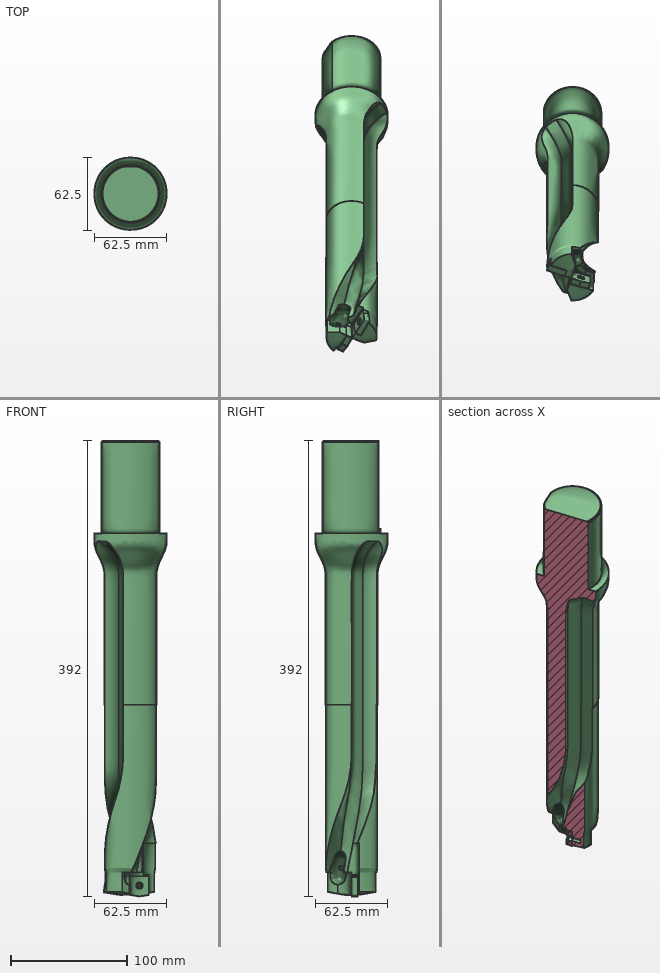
import cadquery as cq
import math


total_height = 391.98
shank_radius = 49.99 / 2
shank_chamfer = 1.0
shank_flat_y = 23.4
shank_flat_bottom = 316.2

flange_radius = 62.5 / 2
flange_top = 312.4
flange_bottom = 306.4
bell_inflection = (26.0, 290.0)
bell_bottom = 275.2

neck_radius = 22.42
body_radius = 22.4
lower_body_radius = 22.3
neck_bottom = 270.0
upper_body_bottom = 164.9

head_radius = 21.6
head_cone_top = 24.5
head_cone_bottom = 20.8
end_cone_top = 4.0
end_cone_bottom = 1.7
end_face_radius = 8.0

flute_wall_end = (-10.0, 0.0)
flute_bevel_end = (-4.0, -9.7)
flute_edge = (-6.2, -21.0)
flute_reach = 48.0

twist_start = 122.0
twist_full = 80.0
twist_rate = 1.1
twist_end = 20.0
flute_sections = 21

runout_start = bell_bottom
runout_radius = 32.0
runout_angle = 217.0
runout_sections = 8

insert_side = 16.4
insert_thickness = 5.3
insert_corner_radius = 0.8
insert_hole_diameter = 4.7
insert_sink_diameter = 5.7
insert_sink_depth = 1.5
screw_hole_diameter = 3.5
screw_hole_depth = 8.0
center_tip = 1.2
center_insert_x = 7.7
center_insert_z = center_tip + insert_side / 2
outer_insert_x = -13.8
outer_insert_z = 10.4
outer_insert_tilt = 9.0

center_chip_wall_x = -1.0
outer_chip_wall_x = 1.2
chip_wall_length = 12.0
chip_flare = 35.0
flat_floor_y = 6.5
flat_floor_left = 11.0
flat_floor_step = 18.8
flat_floor_top = 46.0

scoop_radius = 7.5
scoop_low = (-1.0, -12.3, 17.8)
scoop_high = (0.5, -8.5, 32.5)
coolant_diameter = 4.0
coolant_y = -8.9
coolant_z = 24.7
coolant_depth = 10.0


def revolved_blank():
    profile = (
        cq.Workplane("XZ")
        .moveTo(0, end_cone_bottom)
        .lineTo(end_face_radius, end_cone_bottom)
        .lineTo(head_radius, end_cone_top)
        .lineTo(head_radius, head_cone_bottom)
        .lineTo(lower_body_radius, head_cone_top)
        .lineTo(lower_body_radius, upper_body_bottom)
        .lineTo(body_radius, upper_body_bottom)
        .lineTo(body_radius, neck_bottom)
        .lineTo(neck_radius, bell_bottom)
        .spline([bell_inflection, (flange_radius, flange_bottom)], [(0, 1), (0, 1)], includeCurrent=True)
        .lineTo(flange_radius, flange_top)
        .lineTo(shank_radius, flange_top)
        .lineTo(shank_radius, total_height - shank_chamfer)
        .lineTo(shank_radius - shank_chamfer, total_height)
        .lineTo(0, total_height)
        .close()
    )
    return profile.revolve(360, (0, 0, 0), (0, 1, 0))


def shank_flat():
    size = 2 * flange_radius
    height = total_height - shank_flat_bottom
    return cq.Workplane("XY").box(size, size, height, centered=(True, False, False)).translate(
        (0, shank_flat_y, shank_flat_bottom)
    )


def flute_section(z, turn=0.0, shift=0.0):
    """Closed flute outline at height z, turned about the axis and shifted outwards."""
    outline = [
        (-flute_reach, 0),
        flute_wall_end,
        flute_bevel_end,
        flute_edge,
        (flute_edge[0], -flute_reach),
        (-flute_reach, -flute_reach),
    ]
    shift_x = shift * math.cos(math.radians(runout_angle))
    shift_y = shift * math.sin(math.radians(runout_angle))
    points = [cq.Vector(x + shift_x, y + shift_y, z) for x, y in outline]
    wire = cq.Wire.makePolygon(points, close=True)
    return wire.rotate(cq.Vector(0, 0, 0), cq.Vector(0, 0, 1), turn)


def flute_turn(z):
    """Turn in degrees: it builds up smoothly over the blend, then stays a steady helix."""
    blend = twist_start - twist_full
    drop = max(twist_start - z, 0)
    if drop < blend:
        return -twist_rate * drop**2 / (2 * blend)
    return -twist_rate * (drop - blend / 2)


def runout_shift(z):
    rise = z - runout_start
    return runout_radius - math.sqrt(runout_radius**2 - rise**2)


def evenly_spaced(start, end, count):
    return [start + (end - start) * i / (count - 1) for i in range(count)]


def flute_cutters():
    flute_heights = evenly_spaced(twist_end, runout_start, flute_sections)
    runout_heights = evenly_spaced(runout_start, flange_bottom, runout_sections)
    return [
        cq.Solid.makeLoft([flute_section(z, turn=flute_turn(z)) for z in flute_heights]),
        cq.Solid.makeLoft([flute_section(z, shift=runout_shift(z)) for z in runout_heights]),
    ]


def chip_space(wall_x):
    """Space in front of an insert that faces -Y and lies at positive x."""
    flare_run = flute_reach * math.tan(math.radians(chip_flare))
    outline = [
        (wall_x, 0),
        (wall_x, -chip_wall_length),
        (wall_x - flare_run, -chip_wall_length - flute_reach),
        (flute_reach, -chip_wall_length - flute_reach),
        (flute_reach, 0),
    ]
    return cq.Workplane("XY").polyline(outline).close().extrude(head_cone_bottom)


def flat_floor():
    """Clearance beside the central insert, wider above it and open to the flute."""
    insert_edge = center_insert_x + insert_side / 2
    outline = [
        (insert_edge, 0),
        (insert_edge, flat_floor_step),
        (flat_floor_left, flat_floor_step),
        (flat_floor_left, flat_floor_top),
        (flute_reach, flat_floor_top),
        (flute_reach, 0),
    ]
    prism = cq.Workplane("XZ").polyline(outline).close().extrude(flute_reach)
    return prism.translate((0, flat_floor_y, 0))


def scoop():
    low = cq.Vector(*scoop_low)
    high = cq.Vector(*scoop_high)
    axis = high - low
    rod = cq.Workplane(cq.Solid.makeCylinder(scoop_radius, axis.Length, low, axis))
    for end in (scoop_low, scoop_high):
        rod = rod.union(cq.Workplane("XY").sphere(scoop_radius).translate(end))
    hole_start = cq.Vector(scoop_low[0], coolant_y, coolant_z)
    hole = cq.Solid.makeCylinder(coolant_diameter / 2, coolant_depth, hole_start, cq.Vector(-1, 0, 0))
    return rod.union(cq.Workplane(hole))


def insert_blank(tip):
    """Square plate with its top face at y = 0 facing -Y; tip is the drop of the pointed lower edge."""
    half = insert_side / 2
    plate = cq.Workplane("XZ").rect(insert_side, insert_side).extrude(-insert_thickness)
    plate = plate.edges("|Y").fillet(insert_corner_radius)
    if tip > 0:
        flank = half - insert_corner_radius
        point = cq.Workplane("XZ").polyline([(-flank, -half), (0, -half - tip), (flank, -half)]).close()
        plate = plate.union(point.extrude(-insert_thickness))
    return plate


def insert_hole():
    hole = cq.Workplane("XZ").circle(insert_hole_diameter / 2).extrude(-insert_thickness)
    sink = cq.Workplane("XZ").circle(insert_sink_diameter / 2).extrude(-insert_sink_depth)
    return hole.union(sink)


def screw_hole():
    depth = insert_thickness + screw_hole_depth
    return cq.Workplane("XZ").circle(screw_hole_diameter / 2).extrude(-depth)


def place_center(shape):
    return shape.translate((center_insert_x, 0, center_insert_z))


def place_outer(shape):
    """Turns the shape to face +Y, tilts its lower outer corner out and moves it to its seat."""
    turned = shape.rotate((0, 0, 0), (0, 0, 1), 180)
    tilted = turned.rotate((0, 0, 0), (0, 1, 0), outer_insert_tilt)
    return tilted.translate((outer_insert_x, 0, outer_insert_z))


def half_turn(shape):
    return shape.rotate((0, 0, 0), (0, 0, 1), 180)


center_blank = place_center(insert_blank(center_tip))
outer_blank = place_outer(insert_blank(0))

drill_body = revolved_blank().cut(shank_flat())
for angle in (0, 180):
    for cutter in flute_cutters():
        drill_body = drill_body.cut(cq.Workplane(cutter).rotate((0, 0, 0), (0, 0, 1), angle))
drill_body = drill_body.cut(chip_space(center_chip_wall_x)).cut(flat_floor())
drill_body = drill_body.cut(half_turn(chip_space(outer_chip_wall_x)))
drill_body = drill_body.cut(scoop()).cut(half_turn(scoop()))
drill_body = drill_body.cut(center_blank).cut(outer_blank)
drill_body = drill_body.cut(place_center(screw_hole())).cut(place_outer(screw_hole()))

center_insert = center_blank.cut(place_center(insert_hole()))
outer_insert = outer_blank.cut(place_outer(insert_hole()))

result = cq.Compound.makeCompound([drill_body.val(), center_insert.val(), outer_insert.val()])